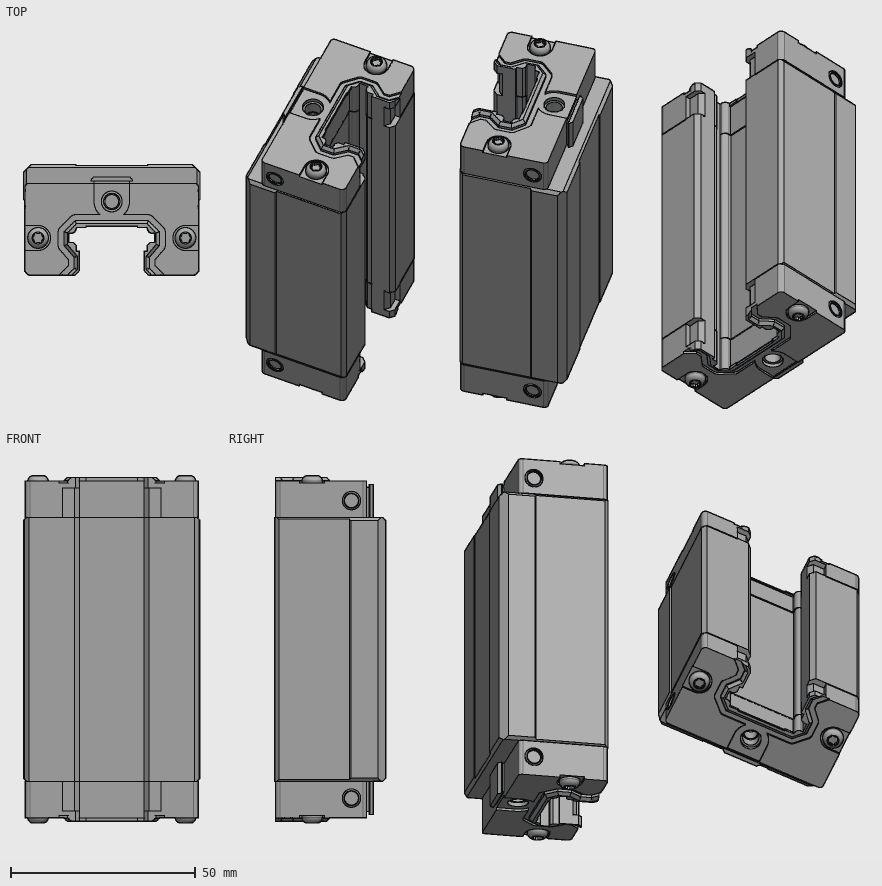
import cadquery as cq


BODY_END = 35.8
CAP_END = 45.7
RECESS_FLOOR = 45.1
SEAL_TAPER_START = 45.8
SEAL_END = 46.7
SCREW_END = 47.15

BODY_WIDTH = 48.0
BODY_TOP = 15.1
BODY_BOTTOM = -15.1
BODY_TOP_CHAMFER = 2.2
BODY_FOOT_CHAMFER = 1.1
BODY_END_CHAMFER = 0.9
SIDE_STEP_Y = 5.2
SIDE_STEP_DEPTH = 0.4
TOP_RELIEF_WIDTH = 19.4
TOP_RELIEF_DEPTH = 0.3

NOSE_HALF = 8.8
NOSE_CHAMFER = 1.3
NOSE_TOP = -8.5
WALL_HALF = 9.6
BODY_WALL_HALF = 9.8
POCKET_HALF = 11.6
POCKET_TOP = -3.7
POCKET_BOTTOM = -6.1
POCKET_BEVEL = 0.8
BALL_RIB_RADIUS = 1.4
BODY_ROOF_Y = -1.3
CAP_ROOF_Y = -1.6
LIP_ROOF_Y = -1.8
LIP_STEP_HALF = 7.0
LIP_STEP_Y = -2.1
LIP_ROOF = [(0, LIP_ROOF_Y), (LIP_STEP_HALF, LIP_ROOF_Y), (LIP_STEP_HALF, LIP_STEP_Y)]

CAP_WIDTH = 47.1
CAP_TOP = 9.9
CAP_BOTTOM = -14.9
CAP_TOP_RADIUS = 1.0
CAP_FOOT_RADIUS = 1.3
RECESS_MARGIN = 1.6
FOOT_NOTCH_HALF = 13.3
FOOT_NOTCH_DEPTH = 1.4
FOOT_NOTCH_END = 43.85

SEAL_ROOF_HALF = 9.9
SEAL_ROOF_Y = -0.2
SEAL_BULGE_HALF = 12.9
SEAL_BULGE_TOP = -3.2
SEAL_BULGE_BOTTOM = -7.0
SEAL_WAIST_HALF = 10.2
SEAL_WAIST_TOP = -10.2
SEAL_WAIST_BOTTOM = -13.1

PORT_Y = 5.0
PORT_PAD_RADIUS = 4.8
PORT_COUNTERBORE = 5.7
PORT_COUNTERBORE_DEPTH = 1.1
PORT_BORE = 4.4
PORT_BORE_DEPTH = 4.7
PORT_CORE = 3.8
SIDE_PORT_Y = 5.75
SIDE_PORT_Z = 40.4
SIDE_PORT_MOUTH = 5.0
SIDE_PORT_BORE = 3.8
SIDE_PORT_DEPTH = 0.5

PLATE_HALF = 5.7
PLATE_BEVEL = 0.85
PLATE_BACK = 11.7
PLATE_FRONT = 10.6
PLATE_END = 44.8
PLATE_STEM_END = 44.0

SCREW_X = 20.0
SCREW_Y = -4.9
SCREW_HEAD = 5.7
SCREW_CROWN = 3.2
SCREW_RIM_Z = 45.6
SCREW_BULGE = (2.45, 46.6)
SCREW_POCKET_RADIUS = 3.4
SOCKET_CORE = 2.5
SOCKET_LOBE = 0.7
SOCKET_LOBES = 6
SOCKET_DEPTH = 0.9

BELOW = BODY_BOTTOM - 3.8


def block(x0, x1, y0, y1, z0, z1):
    return cq.Workplane("XY").box(x1 - x0, y1 - y0, z1 - z0, centered=False).translate((x0, y0, z0))


def mirrored_outline(right_half, z):
    """Closed outline on the plane at z from the points of its +X half, listed from top to bottom."""
    left_half = [(-x, y) for x, y in reversed(right_half)]
    return cq.Workplane("XY", origin=(0, 0, z)).polyline(right_half + left_half).close()


def on_both_sides(solid):
    return solid.union(solid.mirror("YZ"))


def channel(z0, z1, roof, wall_half=WALL_HALF):
    """Rail channel between two levels; `roof` lists the points of the roof from its middle outward."""
    chamfer_top = BODY_BOTTOM + NOSE_CHAMFER
    points = roof + [
        (wall_half, roof[-1][1]),
        (wall_half, POCKET_TOP),
        (POCKET_HALF, POCKET_TOP),
        (POCKET_HALF, POCKET_BOTTOM),
        (wall_half + POCKET_BEVEL, POCKET_BOTTOM),
        (wall_half, POCKET_BOTTOM - POCKET_BEVEL),
        (wall_half, NOSE_TOP),
        (NOSE_HALF, NOSE_TOP),
        (NOSE_HALF, chamfer_top),
        (NOSE_HALF + chamfer_top - BELOW, BELOW),
    ]
    cutter = mirrored_outline(points, z0).extrude(z1 - z0)
    reach = 0.1
    for side in (-1, 1):
        corner_x = side * wall_half
        rib_edge = cq.selectors.BoxSelector(
            (corner_x - reach, POCKET_TOP - reach, z0),
            (corner_x + reach, POCKET_TOP + reach, z1),
        )
        cutter = cutter.edges(rib_edge).fillet(BALL_RIB_RADIUS)
    return cutter


def seal_outline(z):
    """Outer edge of the seal that follows the rail profile."""
    return mirrored_outline(
        [
            (SEAL_ROOF_HALF, SEAL_ROOF_Y),
            (SEAL_BULGE_HALF, SEAL_BULGE_TOP),
            (SEAL_BULGE_HALF, SEAL_BULGE_BOTTOM),
            (SEAL_WAIST_HALF, SEAL_WAIST_TOP),
            (SEAL_WAIST_HALF, SEAL_WAIST_BOTTOM),
            (SEAL_WAIST_HALF + SEAL_WAIST_BOTTOM - BELOW, BELOW),
        ],
        z,
    )


def make_body():
    half = BODY_WIDTH / 2
    body = block(-half, half, BODY_BOTTOM, BODY_TOP, -BODY_END, BODY_END)
    body = body.faces("<Z or >Z").edges("not <Y").chamfer(BODY_END_CHAMFER)
    body = body.cut(
        block(
            -TOP_RELIEF_WIDTH / 2, TOP_RELIEF_WIDTH / 2,
            BODY_TOP - TOP_RELIEF_DEPTH, BODY_TOP,
            -BODY_END, BODY_END,
        )
    )
    lower_half = half - SIDE_STEP_DEPTH
    top_corner = [
        (half, BODY_TOP),
        (half, BODY_TOP - BODY_TOP_CHAMFER),
        (half - BODY_TOP_CHAMFER, BODY_TOP),
    ]
    lower_side = [
        (half, SIDE_STEP_Y + SIDE_STEP_DEPTH),
        (lower_half, SIDE_STEP_Y),
        (lower_half, BODY_BOTTOM + BODY_FOOT_CHAMFER),
        (lower_half - BODY_FOOT_CHAMFER, BODY_BOTTOM),
        (half, BODY_BOTTOM),
    ]
    for outline in (top_corner, lower_side):
        trim = cq.Workplane("XY", origin=(0, 0, -BODY_END)).polyline(outline).close()
        body = body.cut(on_both_sides(trim.extrude(2 * BODY_END)))
    return body


def make_cap():
    half = CAP_WIDTH / 2
    cap = block(-half, half, CAP_BOTTOM, CAP_TOP, BODY_END, CAP_END)
    cap = cap.edges("|Z and >Y").fillet(CAP_TOP_RADIUS)
    cap = cap.edges("|Z and <Y").fillet(CAP_FOOT_RADIUS)
    return cap.cut(make_cap_recess())


def make_cap_recess():
    """Shallow recess around the seal, the grease port and the screws."""
    depth = CAP_END - RECESS_FLOOR
    plane = cq.Workplane("XY", origin=(0, 0, RECESS_FLOOR))
    recess = seal_outline(RECESS_FLOOR).offset2D(RECESS_MARGIN).extrude(depth)
    port_pad = plane.center(0, PORT_Y).circle(PORT_PAD_RADIUS).extrude(depth)
    pad_strip = block(-PORT_PAD_RADIUS, PORT_PAD_RADIUS, PORT_Y, CAP_TOP, RECESS_FLOOR, CAP_END)
    screw_pocket = plane.center(SCREW_X, SCREW_Y).circle(SCREW_POCKET_RADIUS).extrude(depth)
    screw_pocket = screw_pocket.union(
        block(
            SCREW_X, CAP_WIDTH / 2,
            SCREW_Y - SCREW_POCKET_RADIUS, SCREW_Y + SCREW_POCKET_RADIUS,
            RECESS_FLOOR, CAP_END,
        )
    )
    return recess.union(port_pad).union(pad_strip).union(on_both_sides(screw_pocket))


def make_seal():
    seal = seal_outline(RECESS_FLOOR).extrude(SEAL_TAPER_START - RECESS_FLOOR)
    taper_height = SEAL_END - SEAL_TAPER_START
    seal = seal.union(seal_outline(SEAL_TAPER_START).extrude(taper_height, taper=45))
    return seal.intersect(block(-CAP_WIDTH, CAP_WIDTH, CAP_BOTTOM, CAP_TOP, RECESS_FLOOR, SEAL_END))


def make_foot_notch():
    """Cut that sets the cap's channel noses back, leaving only the seal plate at full depth."""
    notch_top = CAP_BOTTOM + FOOT_NOTCH_DEPTH
    outline = [
        (NOSE_HALF, notch_top + NOSE_CHAMFER),
        (NOSE_HALF + NOSE_CHAMFER, notch_top),
        (FOOT_NOTCH_HALF, notch_top),
        (FOOT_NOTCH_HALF, BELOW),
        (NOSE_HALF, BELOW),
    ]
    notch = (
        cq.Workplane("XY", origin=(0, 0, BODY_END))
        .polyline(outline)
        .close()
        .extrude(FOOT_NOTCH_END - BODY_END)
    )
    return on_both_sides(notch)


def make_grease_ports():
    mouth = cq.Workplane("XY", origin=(0, PORT_Y, RECESS_FLOOR))
    end_port = mouth.circle(PORT_COUNTERBORE / 2).extrude(-PORT_COUNTERBORE_DEPTH)
    end_port = end_port.union(mouth.circle(PORT_BORE / 2).extrude(-PORT_BORE_DEPTH))
    end_port = end_port.union(mouth.circle(PORT_CORE / 2).extrude(BODY_END - RECESS_FLOOR))

    side_mouth = cq.Workplane("YZ", origin=(CAP_WIDTH / 2, SIDE_PORT_Y, SIDE_PORT_Z))
    plug_floor = side_mouth.workplane(offset=-SIDE_PORT_DEPTH)
    plug = plug_floor.circle(SIDE_PORT_MOUTH / 2).extrude(SIDE_PORT_DEPTH, taper=45)
    side_port = side_mouth.circle(SIDE_PORT_MOUTH / 2).extrude(-SIDE_PORT_DEPTH).cut(plug)
    side_port = side_port.union(side_mouth.circle(SIDE_PORT_BORE / 2).extrude(-SIDE_PORT_DEPTH))
    return end_port.union(on_both_sides(side_port))


def make_plate():
    plate = block(-PLATE_HALF, PLATE_HALF, PLATE_FRONT, PLATE_BACK, BODY_END, PLATE_END)
    plate = plate.edges("|Z and >Y").chamfer(PLATE_BEVEL)
    stem_half = PLATE_HALF - PLATE_BEVEL
    return plate.union(block(-stem_half, stem_half, CAP_TOP, PLATE_FRONT, BODY_END, PLATE_STEM_END))


def make_screws():
    """Domed screw heads with six-lobed sockets."""
    head_half = SCREW_HEAD / 2
    screw = (
        cq.Workplane("XZ")
        .moveTo(0, RECESS_FLOOR)
        .lineTo(head_half, RECESS_FLOOR)
        .lineTo(head_half, SCREW_RIM_Z)
        .threePointArc(SCREW_BULGE, (SCREW_CROWN / 2, SCREW_END))
        .lineTo(0, SCREW_END)
        .close()
        .revolve(360, (0, 0), (0, 1))
        .translate((SCREW_X, SCREW_Y, 0))
    )
    socket_plane = cq.Workplane("XY", origin=(SCREW_X, SCREW_Y, SCREW_END))
    socket = socket_plane.circle(SOCKET_CORE / 2).extrude(-SOCKET_DEPTH)
    lobes = (
        socket_plane.polarArray(SOCKET_CORE / 2, 0, 360, SOCKET_LOBES)
        .circle(SOCKET_LOBE / 2)
        .extrude(-SOCKET_DEPTH)
    )
    return on_both_sides(screw.cut(socket).cut(lobes))


def make_end():
    """Everything beyond the +Z end of the body."""
    end = make_cap().union(make_seal())
    end = end.cut(channel(BODY_END, CAP_END, [(0, CAP_ROOF_Y)]))
    end = end.cut(channel(CAP_END, SEAL_END, LIP_ROOF))
    end = end.cut(make_foot_notch()).cut(make_grease_ports())
    return end.union(make_plate()).union(make_screws())


end_assembly = make_end()
body = make_body().cut(channel(-BODY_END, BODY_END, [(0, BODY_ROOF_Y)], BODY_WALL_HALF))
result = body.union(end_assembly).union(end_assembly.mirror("XY"))